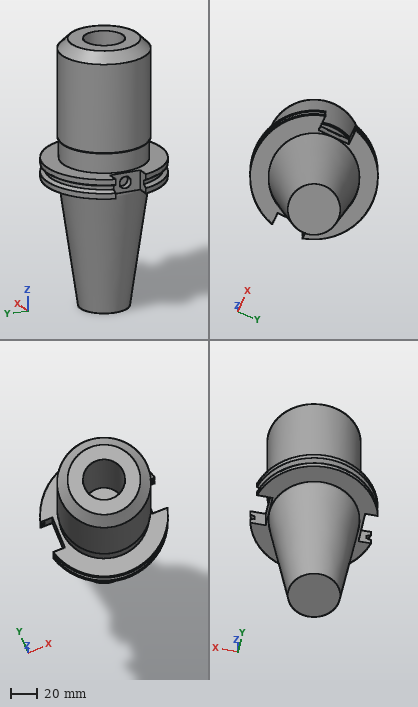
import cadquery as cq

total_height = 218.5

gauge_height = 101.5
gauge_radius = 35.0
taper_ratio = 7 / 24
tip_radius = gauge_radius - gauge_height * taper_ratio / 2

flange_bottom = 104.9
flange_thickness = 16.0
flange_top = flange_bottom + flange_thickness
flange_middle = flange_bottom + flange_thickness / 2
flange_radius = 49.1
groove_mouth = 7.0
groove_floor = 3.0
groove_radius = 45.7

neck_radius = 35.0
head_radius = 36.0
head_bottom = 137.8
head_chamfer = 8.0
shoulder_chamfer = head_radius - neck_radius

bore_radius = 16.2
bore_depth = 78.6

slot_width = 25.8
slot_floor_left = 37.5
slot_floor_right = 35.2

side_hole_radius = 4.8
side_hole_depth = 6.0


def make_body():
    """Revolve the half profile of shank, flange, neck and head."""
    profile = [
        (0, 0),
        (tip_radius, 0),
        (gauge_radius, gauge_height),
        (gauge_radius, flange_bottom),
        (flange_radius, flange_bottom),
        (flange_radius, flange_middle - groove_mouth / 2),
        (groove_radius, flange_middle - groove_floor / 2),
        (groove_radius, flange_middle + groove_floor / 2),
        (flange_radius, flange_middle + groove_mouth / 2),
        (flange_radius, flange_top),
        (neck_radius, flange_top),
        (neck_radius, head_bottom - shoulder_chamfer),
        (head_radius, head_bottom),
        (head_radius, total_height - head_chamfer),
        (head_radius - head_chamfer, total_height),
        (0, total_height),
    ]
    return cq.Workplane("XZ").polyline(profile).close().revolve(360, (0, 0, 0), (0, 1, 0))


def make_slot(side, floor_distance):
    """Box that opens the flange outward from the slot floor; side is -1 or +1 along X."""
    slot_length = flange_radius
    center_x = side * (floor_distance + slot_length / 2)
    slot = cq.Workplane("XY").box(slot_length, slot_width, flange_thickness)
    return slot.translate((center_x, 0, flange_middle))


def make_bore():
    """Flat-bottomed tool bore entering from the top face."""
    bore = cq.Workplane("XY").circle(bore_radius).extrude(bore_depth)
    return bore.translate((0, 0, total_height - bore_depth))


def make_side_hole():
    """Blind hole running inward along +X from the left slot floor."""
    hole = cq.Workplane("YZ").circle(side_hole_radius).extrude(side_hole_depth)
    return hole.translate((-slot_floor_left, 0, flange_middle))


result = (
    make_body()
    .cut(make_slot(-1, slot_floor_left))
    .cut(make_slot(1, slot_floor_right))
    .cut(make_bore())
    .cut(make_side_hole())
)